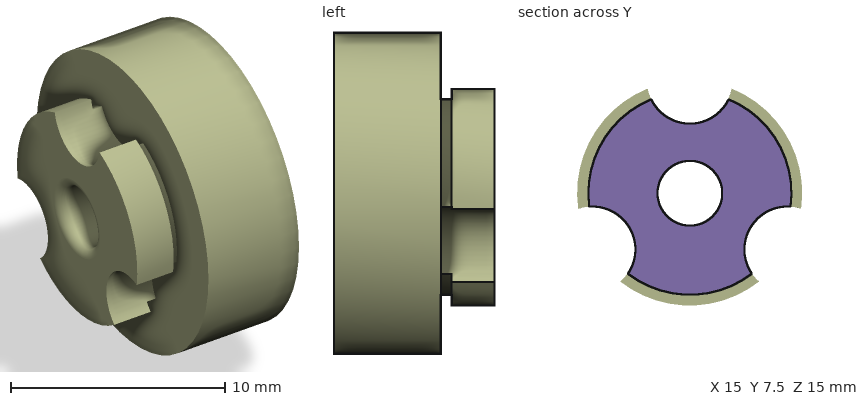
import cadquery as cq

total_depth = 7.5
disc_diameter = 15.0
disc_depth = 5.0
neck_diameter = 9.5
neck_depth = 0.5
head_diameter = 10.5
bore_diameter = 3.0
bore_rim_radius = 0.5
notch_radius = 2.0
notch_count = 3
first_notch_angle = 90

head_depth = total_depth - disc_depth - neck_depth
disc_front = -disc_depth
head_back = disc_front - neck_depth


def cylinder(diameter, back, depth):
    """Cylinder along Y, reaching from its back face toward -Y."""
    return cq.Workplane("XZ", origin=(0, back, 0)).circle(diameter / 2).extrude(depth)


disc = cylinder(disc_diameter, 0, disc_depth)
neck = cylinder(neck_diameter, disc_front, neck_depth)
head = cylinder(head_diameter, head_back, head_depth)
body = disc.union(neck).union(head)

notch_centers = (
    cq.Workplane("XZ", origin=(0, disc_front, 0))
    .polarArray(head_diameter / 2, first_notch_angle, 360, notch_count)
)
notches = notch_centers.circle(notch_radius).extrude(neck_depth + head_depth)
body = body.cut(notches)

body = body.cut(cylinder(bore_diameter, 0, total_depth))
smallest_radius = cq.selectors.RadiusNthSelector(0)
bore_rim = body.faces("<Y").edges("%CIRCLE").edges(smallest_radius)
result = bore_rim.fillet(bore_rim_radius)